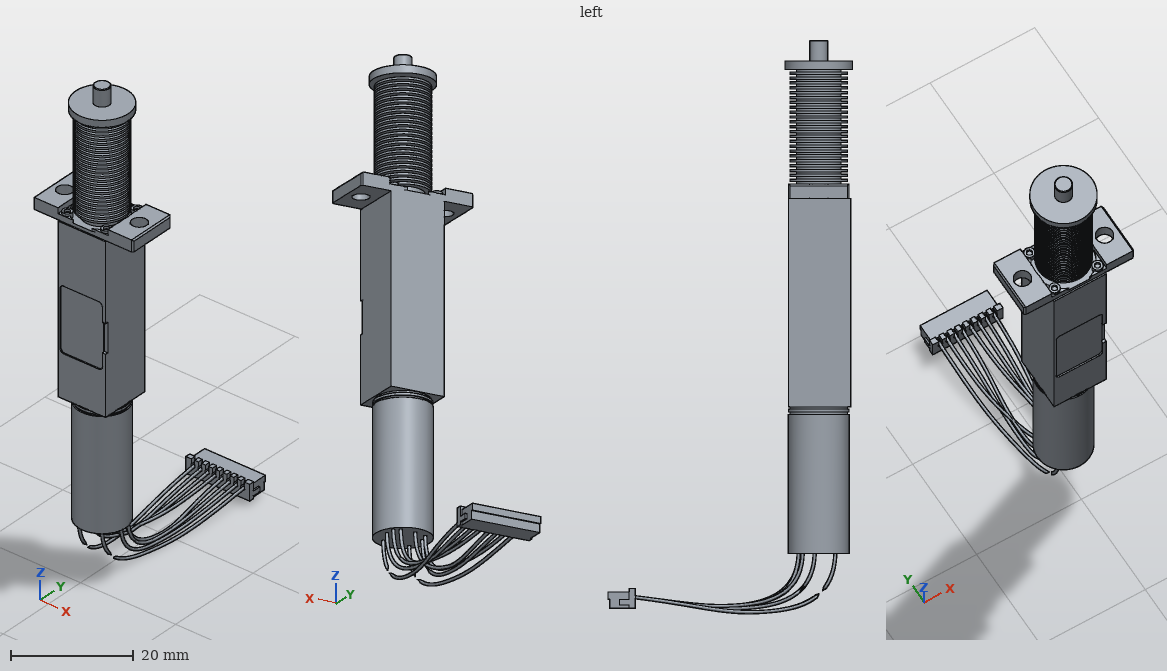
import cadquery as cq

shaft_top = 83.7
shaft_diameter = 3.0
shaft_chamfer = 0.14
disc_diameter = 11.0
disc_top = 80.4
disc_thickness = 1.4
ring_diameter = 9.4
ring_count = 24
ring_pitch = 0.79
ring_thickness = 0.4
bellows_core_diameter = 7.3

flange_length = 21.0
flange_width = 9.9
flange_thickness = 2.3
flange_top = 60.3
flange_chamfer = 0.3
screw_hole_diameter = 3.0
screw_hole_spacing = 15.7
channel_width = 10.5
channel_depth = 1.1
seat_diameter = 10.7
seat_depth = 1.7
head_diameter = 1.9
head_height = 0.5
head_socket_diameter = 1.0
head_x = 4.1
head_y = 3.9

housing_width = 10.0
housing_back = flange_width / 2
housing_front = -5.2
housing_bottom = 23.9
window_left = -4.6
window_right = 4.3
window_bottom = 32.7
window_height = 13.1
window_depth = 0.3
window_corner_radius = 0.75
notch_bottom = 36.2
notch_height = 5.9
notch_depth = 0.6

motor_diameter = 10.0
motor_top = 22.7
neck_diameter = 9.4
collar_diameter = 9.9
collar_thickness = 0.5
collar_top = 23.55

contact_count = 8
contact_pitch = 1.5
connector_back = 34.4
connector_front = 29.9
connector_length = 13.5
connector_top = -5.7
connector_height = 3.3
cap_length = 12.8
cap_top = connector_top - 0.6
cap_height = 1.2
wall_thickness = 1.0
base_setback = 0.3
rail_depth = 2.6
rail_height = 0.9
rail_bottom = connector_top - 2.7
slot_width = 0.7
contact_hole_diameter = 0.87

wire_diameter = 0.55
wire_embed = 0.5
wire_end_z = connector_top - 1.26
wire_end_rise = 0.12

wire_courses = [
    ((-2.7, -2.7), (-3.8, 8.1, -9.4)),
    ((-0.5, 3.3), (-2.2, 12.5, -8.4)),
    ((-3.3, 0.7), (-2.8, 10.7, -8.8)),
    ((-2.7, 2.6), (-2.15, 12.5, -8.4)),
    ((2.2, 3.3), (2.2, 12.5, -8.4)),
    ((3.3, 2.6), (2.7, 12.5, -8.4)),
    ((3.4, 0.7), (3.0, 10.7, -8.8)),
    ((2.15, -2.7), (3.0, 8.1, -9.4)),
]

flange_bottom = flange_top - flange_thickness
seat_floor = flange_top - seat_depth
disc_bottom = disc_top - disc_thickness
first_ring_top = disc_bottom - (ring_pitch - ring_thickness)


def disc(diameter, bottom, top):
    """Upright cylinder on the plunger axis."""
    return cq.Workplane("XY", origin=(0, 0, bottom)).circle(diameter / 2).extrude(top - bottom)


def block(x_range, y_range, z_range):
    """Box between two limits along each axis."""
    lows, highs = zip(x_range, y_range, z_range)
    sizes = [high - low for low, high in zip(lows, highs)]
    return cq.Workplane("XY").box(*sizes, centered=False).translate(lows)


def make_plunger():
    plunger = disc(bellows_core_diameter, seat_floor, disc_bottom)
    plunger = plunger.union(disc(disc_diameter, disc_bottom, disc_top))
    plunger = plunger.union(disc(shaft_diameter, disc_top, shaft_top))
    for index in range(ring_count):
        ring_top = first_ring_top - index * ring_pitch
        plunger = plunger.union(disc(ring_diameter, ring_top - ring_thickness, ring_top))
    return plunger.faces(">Z").chamfer(shaft_chamfer)


def make_flange():
    half_length = flange_length / 2
    half_width = flange_width / 2
    flange = block((-half_length, half_length), (-half_width, half_width), (flange_bottom, flange_top))
    flange = flange.edges("(|Z) or (>Z and |Y)").chamfer(flange_chamfer)
    half_channel = channel_width / 2
    channel_floor = flange_top - channel_depth
    channel = block((-half_channel, half_channel), (-half_width, half_width), (channel_floor, flange_top))
    holes = (
        cq.Workplane("XY", origin=(0, 0, flange_bottom))
        .pushPoints([(-screw_hole_spacing / 2, 0), (screw_hole_spacing / 2, 0)])
        .circle(screw_hole_diameter / 2)
        .extrude(flange_thickness)
    )
    flange = flange.cut(channel).cut(holes).cut(disc(seat_diameter, seat_floor, flange_top))
    screw_heads = (
        cq.Workplane("XY", origin=(0, 0, seat_floor))
        .rect(2 * head_x, 2 * head_y, forConstruction=True)
        .vertices()
        .circle(head_diameter / 2)
        .extrude(channel_floor + head_height - seat_floor)
    )
    sockets = (
        cq.Workplane("XY", origin=(0, 0, channel_floor))
        .rect(2 * head_x, 2 * head_y, forConstruction=True)
        .vertices()
        .circle(head_socket_diameter / 2)
        .extrude(head_height)
    )
    return flange.union(screw_heads).cut(sockets)


def make_housing():
    half_width = housing_width / 2
    housing = block((-half_width, half_width), (housing_front, housing_back), (housing_bottom, flange_bottom))
    window = block(
        (window_left, window_right),
        (housing_front, housing_front + window_depth),
        (window_bottom, window_bottom + window_height),
    )
    window = window.edges("|Y").fillet(window_corner_radius)
    notch = block(
        (window_right, half_width),
        (housing_front, housing_front + notch_depth),
        (notch_bottom, notch_bottom + notch_height),
    )
    return housing.cut(window).cut(notch)


def make_motor():
    motor = disc(motor_diameter, 0, motor_top)
    motor = motor.union(disc(neck_diameter, motor_top, housing_bottom))
    return motor.union(disc(collar_diameter, collar_top - collar_thickness, collar_top))


def contact_x(index):
    return (index - (contact_count - 1) / 2) * contact_pitch


def make_connector():
    half_length = connector_length / 2
    half_cap = cap_length / 2
    connector_bottom = connector_top - connector_height
    wall_back = connector_front + wall_thickness
    connector = block((-half_length, half_length), (connector_front, wall_back), (connector_bottom, connector_top))
    base = block((-half_cap, half_cap), (wall_back, connector_back - base_setback), (connector_bottom, cap_top))
    cap = block((-half_cap, half_cap), (wall_back, connector_back), (cap_top - cap_height, cap_top))
    rails = block(
        (-half_length, half_length),
        (connector_front, connector_front + rail_depth),
        (rail_bottom, rail_bottom + rail_height),
    )
    connector = connector.union(base).union(cap).union(rails)
    for index in range(contact_count):
        x = contact_x(index)
        slot = block(
            (x - slot_width / 2, x + slot_width / 2),
            (connector_front, wall_back),
            (wire_end_z, connector_top),
        )
        hole = (
            cq.Workplane("XZ", origin=(x, wall_back, wire_end_z))
            .circle(contact_hole_diameter / 2)
            .extrude(wall_thickness)
        )
        connector = connector.cut(slot).cut(hole)
    return connector


def make_wire(index):
    (start_x, start_y), sag_point = wire_courses[index]
    end_y = connector_front + wall_thickness + wire_embed
    start = cq.Vector(start_x, start_y, wire_embed)
    end = cq.Vector(contact_x(index), end_y, wire_end_z)
    path = cq.Edge.makeSpline(
        [start, cq.Vector(*sag_point), end],
        tangents=[cq.Vector(0, 0, -1), cq.Vector(0, 1, wire_end_rise)],
    )
    profile = cq.Workplane("XY", origin=start.toTuple()).circle(wire_diameter / 2)
    return profile.sweep(cq.Workplane(path))


def make_actuator():
    actuator = make_flange().union(make_housing()).union(make_motor()).union(make_connector())
    for index in range(contact_count):
        actuator = actuator.union(make_wire(index))
    return actuator


plunger = make_plunger()
actuator = make_actuator()

result = cq.Compound.makeCompound([plunger.val(), actuator.val()])